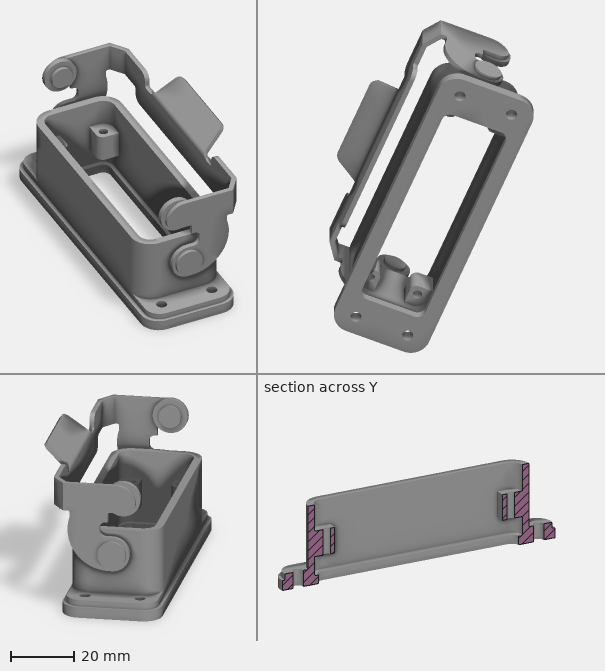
import cadquery as cq
import math


flange_length = 98.0
flange_width = 31.9
flange_edge_height = 3.5
flange_corner = 6.2
step_inset_x = 0.93
step_corner = 5.2
flange_height = 5.6
mount_hole_dia = 3.5
mount_hole_x = 43.1
mount_hole_y = 8.8

shell_length = 79.6
shell_width = 29.3
shell_top = 27.0
shell_corner = 6.6
wall = 2.5
ledge_width = 1.3
ledge_height = 3.0
ledge_fillet = 0.4

post_inner_x = 30.1
post_inner_y = 5.2
post_corner = 2.3
post_top = 18.1
post_height = 8.8
post_hole_dia = 2.9
post_hole_x = 33.0
post_hole_y = 8.0

sheet = 1.6
lever_half_length = 44.2
lever_front_y = 19.7
bend_run_x = 5.5
bend_run_y = 3.9
lever_top = 43.0
arm_bottom = 33.9
strip_start_y = 14.2

strip_bottom = 28.9
strip_bottom_half = 30.6
notch_floor = 38.1
notch_outer_x = 23.6
strip_corner = 2.8
inside_corner = 0.8

tab_angle = 40.0
tab_tip_y = 27.3
tab_tip_z = 46.2
tab_tip_half = 15.2
tab_side_angle = 14.2
tab_corner = 2.6
tab_flare = 3.0
tab_flare_run = 3.9
tab_bend_inside = 0.2

pivot_y = 0.0
pivot_z = 20.1
lobe_radius = 5.6
pivot_pin_dia = 4.7
pivot_cap_dia = 9.0
pivot_cap_height = 1.2
sweep_y = 1.1
sweep_radius = 13.2
arm_front_y = 13.6
arm_fillet = 0.6
arm_rear_y = 1.4
throat_y = 4.0
throat_top = 30.7
throat_radius = 1.9
nose_blend_y = -1.2

roller_y = -3.1
roller_z = 38.1
nose_radius = roller_z - arm_bottom
roller_dia = 11.3
roller_width = 1.9
hub_dia = 7.2
hub_width = 1.2


def rounded_outline(plane, corners):
    """Closed wire through (u, v, radius) corners, each rounded by a tangent arc."""
    outline = cq.Workplane(plane)
    count = len(corners)
    for i, (u, v, radius) in enumerate(corners):
        before = corners[i - 1]
        after = corners[(i + 1) % count]
        corner = cq.Vector(u, v)
        to_before = (cq.Vector(before[0], before[1]) - corner).normalized()
        to_after = (cq.Vector(after[0], after[1]) - corner).normalized()
        half_angle = to_before.getAngle(to_after) / 2
        setback = radius / math.tan(half_angle)
        start = corner + to_before * setback
        end = corner + to_after * setback
        if i == 0:
            outline = outline.moveTo(start.x, start.y)
        else:
            outline = outline.lineTo(start.x, start.y)
        if radius > 0:
            bisector = (to_before + to_after).normalized()
            middle = corner + bisector * (radius / math.sin(half_angle) - radius)
            outline = outline.threePointArc((middle.x, middle.y), (end.x, end.y))
    return outline.close()


def mirrored_corners(half):
    """Complete a half outline, listed on the positive side, about u = 0."""
    return half + [(-u, v, radius) for u, v, radius in reversed(half)]


def rounded_block(length, width, bottom, top, corner):
    block = cq.Workplane("XY").workplane(offset=bottom).rect(length, width).extrude(top - bottom)
    return block.edges("|Z").fillet(corner)


def x_disc(y, z, diameter, start_x, end_x):
    plane = cq.Workplane("YZ").workplane(offset=start_x)
    return plane.center(y, z).circle(diameter / 2).extrude(end_x - start_x)


cavity_length = shell_length - 2 * wall
cavity_width = shell_width - 2 * wall
cavity_corner = shell_corner - wall


def make_housing():
    body = rounded_block(flange_length, flange_width, 0, flange_edge_height, flange_corner)
    step_length = flange_length - 2 * step_inset_x
    body = body.union(
        rounded_block(step_length, shell_width, flange_edge_height, flange_height, step_corner)
    )
    body = body.union(rounded_block(shell_length, shell_width, 0, shell_top, shell_corner))

    cavity = rounded_block(cavity_length, cavity_width, ledge_height, shell_top, cavity_corner)
    cavity = cavity.faces("<Z").edges().fillet(ledge_fillet)
    opening = rounded_block(
        cavity_length - 2 * ledge_width,
        cavity_width - 2 * ledge_width,
        0,
        shell_top,
        cavity_corner - ledge_width,
    )
    body = body.cut(cavity).cut(opening)

    mount_holes = (
        cq.Workplane("XY")
        .rect(2 * mount_hole_x, 2 * mount_hole_y, forConstruction=True)
        .vertices()
        .circle(mount_hole_dia / 2)
        .extrude(flange_height)
    )
    return body.cut(mount_holes)


def make_posts():
    """Four corner posts hanging on the cavity walls, each with a through hole."""
    post_length = shell_length / 2 - wall / 2 - post_inner_x
    post_width = shell_width / 2 - wall / 2 - post_inner_y
    posts = (
        cq.Workplane("XY")
        .workplane(offset=post_top - post_height)
        .center(post_inner_x + post_length / 2, post_inner_y + post_width / 2)
        .rect(post_length, post_width)
        .extrude(post_height)
        .edges("|Z and <X and <Y")
        .fillet(post_corner)
    )
    hole = (
        cq.Workplane("XY")
        .workplane(offset=post_top - post_height)
        .center(post_hole_x, post_hole_y)
        .circle(post_hole_dia / 2)
        .extrude(post_height)
    )
    shell_block = rounded_block(shell_length, shell_width, 0, shell_top, shell_corner)
    posts = posts.cut(hole).intersect(shell_block)
    posts = posts.union(posts.mirror("YZ"))
    return posts.union(posts.mirror("XZ"))


def make_strip():
    """Front strip of the lever, bent back at both ends to meet the side arms."""
    bend_y = lever_front_y - bend_run_y
    bend_x = lever_half_length - bend_run_x
    plan = [
        (-lever_half_length, 0),
        (-lever_half_length, bend_y),
        (-bend_x, lever_front_y),
        (bend_x, lever_front_y),
        (lever_half_length, bend_y),
        (lever_half_length, 0),
    ]
    height = lever_top - strip_bottom
    base = cq.Workplane("XY").workplane(offset=strip_bottom)
    sheet_ring = base.polyline(plan).close().extrude(height)
    sheet_ring = sheet_ring.cut(base.polyline(plan).close().offset2D(-sheet).extrude(height))

    half = [
        (notch_outer_x, notch_floor, inside_corner),
        (notch_outer_x, lever_top, strip_corner),
        (lever_half_length, lever_top, 0),
        (lever_half_length, arm_bottom, 0),
        (strip_bottom_half, arm_bottom, inside_corner),
        (strip_bottom_half, strip_bottom, strip_corner),
    ]
    front_plane = cq.Plane(origin=(0, strip_start_y, 0), xDir=(1, 0, 0), normal=(0, -1, 0))
    face = rounded_outline(front_plane, mirrored_corners(half))
    return sheet_ring.intersect(face.extrude(strip_start_y - lever_front_y))


def make_tab():
    """Finger tab bent outward from the notch floor and tapered toward its tip."""
    slope = math.radians(tab_angle)
    rise = math.tan(slope)
    back_y = lever_front_y - sheet
    upper_tip_y = tab_tip_y - sheet * math.sin(slope)
    lower_tip_z = tab_tip_z - sheet * math.cos(slope)
    section = [
        (back_y, notch_floor, 0),
        (back_y, tab_tip_z - (upper_tip_y - back_y) * rise, tab_bend_inside + sheet),
        (upper_tip_y, tab_tip_z, 0),
        (tab_tip_y, lower_tip_z, 0),
        (lever_front_y, lower_tip_z - (tab_tip_y - lever_front_y) * rise, tab_bend_inside),
        (lever_front_y, notch_floor, 0),
    ]
    bent_sheet = rounded_outline("YZ", section).extrude(lever_half_length / 2, both=True)

    foot = (back_y - upper_tip_y) * math.cos(slope) + (notch_floor - tab_tip_z) * math.sin(slope)
    foot_half = tab_tip_half - foot * math.tan(math.radians(tab_side_angle))
    half = [
        (tab_tip_half, 0, tab_corner),
        (foot_half, foot, tab_flare),
        (foot_half + tab_flare_run, foot, 0),
        (foot_half + tab_flare_run, foot - sheet, 0),
    ]
    tab_plane = cq.Plane(
        origin=(0, upper_tip_y, tab_tip_z),
        xDir=(1, 0, 0),
        normal=(0, -math.sin(slope), math.cos(slope)),
    )
    outline = rounded_outline(tab_plane, mirrored_corners(half))
    return bent_sheet.intersect(outline.extrude(3 * sheet, both=True))


def make_arm():
    """Left side arm: a nose carrying the roller and a hooked leg around the pivot."""
    lobe_top = pivot_z + lobe_radius
    lobe_bottom = pivot_z - lobe_radius
    sweep_z = lobe_bottom + sweep_radius
    sweep_end_z = sweep_z + math.sqrt(sweep_radius**2 - (arm_front_y - sweep_y) ** 2)
    sweep_middle = sweep_radius * math.sqrt(0.5)
    joint_y = lever_front_y - bend_run_y - sheet / 2
    return (
        cq.Workplane("YZ")
        .workplane(offset=-lever_half_length)
        .moveTo(joint_y, lever_top)
        .lineTo(nose_blend_y, lever_top)
        .tangentArcPoint((roller_y - nose_radius, roller_z), relative=False)
        .tangentArcPoint((roller_y, roller_z - nose_radius), relative=False)
        .lineTo(arm_rear_y - arm_fillet, arm_bottom)
        .tangentArcPoint((arm_rear_y, arm_bottom - arm_fillet), relative=False)
        .lineTo(arm_rear_y, throat_top)
        .lineTo(throat_y - throat_radius, throat_top)
        .tangentArcPoint((throat_y, throat_top - throat_radius), relative=False)
        .lineTo(throat_y, lobe_top + throat_radius)
        .tangentArcPoint((throat_y - throat_radius, lobe_top), relative=False)
        .lineTo(pivot_y, lobe_top)
        .threePointArc((pivot_y - lobe_radius, pivot_z), (pivot_y, lobe_bottom))
        .lineTo(sweep_y, lobe_bottom)
        .threePointArc((sweep_y + sweep_middle, sweep_z - sweep_middle), (arm_front_y, sweep_end_z))
        .lineTo(arm_front_y, arm_bottom - arm_fillet)
        .tangentArcPoint((arm_front_y + arm_fillet, arm_bottom), relative=False)
        .lineTo(joint_y, arm_bottom)
        .close()
        .extrude(sheet)
    )


def make_arm_set():
    """Left arm with its pivot pin and locking roller."""
    outer_x = -lever_half_length
    inner_x = outer_x + sheet
    roller_x = inner_x + roller_width
    pin_end_x = -cavity_length / 2 - wall / 2
    arm = make_arm()
    arm = arm.union(x_disc(pivot_y, pivot_z, pivot_cap_dia, outer_x - pivot_cap_height, outer_x))
    arm = arm.union(x_disc(pivot_y, pivot_z, pivot_pin_dia, inner_x, pin_end_x))
    arm = arm.union(x_disc(roller_y, roller_z, roller_dia, inner_x, roller_x))
    return arm.union(x_disc(roller_y, roller_z, hub_dia, roller_x, roller_x + hub_width))


left_arm = make_arm_set()
lever = make_strip().union(make_tab()).union(left_arm).union(left_arm.mirror("YZ"))
result = make_housing().union(make_posts()).union(lever)